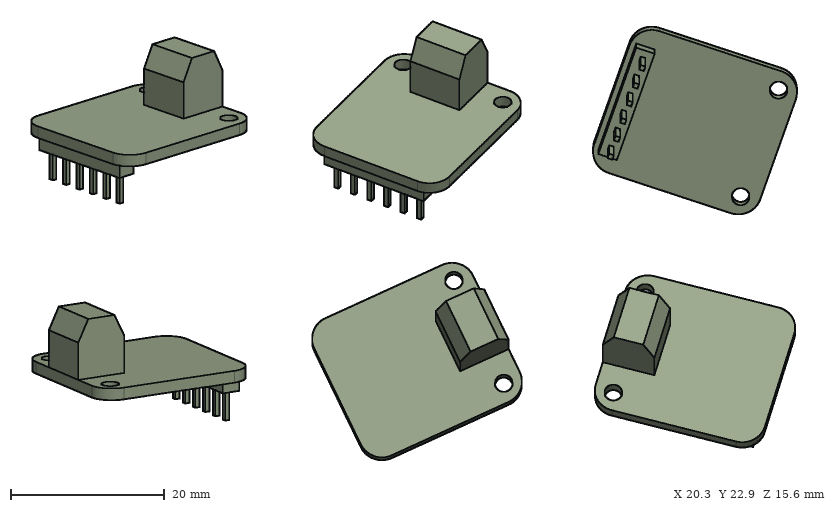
import cadquery as cq

board_width = 20.32
board_length = 22.85
board_thickness = 1.6
board_corner_radius = 3.05

pitch = 2.54
hole_diameter = 2.29

block_width = 7.5
block_depth = 7.0
block_height = 8.0
bevel_depth = 1.5
bevel_height = 3.0

pin_count = 6
header_length = pin_count * pitch
header_height = 2.0
header_edge_distance = 2.01
pin_size = 0.65
pin_length = 4.0

back_y = board_length / 2
pin_row_y = -board_length / 2 + header_edge_distance


def make_board():
    """Rounded plate with a mounting hole in each +Y corner."""
    hole_x = board_width / 2 - pitch
    hole_y = back_y - pitch
    plate = (
        cq.Workplane("XY")
        .rect(board_width, board_length)
        .extrude(board_thickness)
        .edges("|Z")
        .fillet(board_corner_radius)
    )
    holes = (
        cq.Workplane("XY")
        .pushPoints([(-hole_x, hole_y), (hole_x, hole_y)])
        .circle(hole_diameter / 2)
        .extrude(board_thickness)
    )
    return plate.cut(holes)


def make_sensor_block():
    """Bevelled profile in the YZ plane, extruded along X."""
    front_y = back_y - block_depth
    top_z = board_thickness + block_height
    shoulder_z = top_z - bevel_height
    profile = [
        (front_y, board_thickness),
        (back_y, board_thickness),
        (back_y, shoulder_z),
        (back_y - bevel_depth, top_z),
        (front_y + bevel_depth, top_z),
        (front_y, shoulder_z),
    ]
    return cq.Workplane("YZ").polyline(profile).close().extrude(block_width / 2, both=True)


def make_header():
    """Header strip hanging from the board underside."""
    return (
        cq.Workplane("XY")
        .center(0, pin_row_y)
        .rect(header_length, pitch)
        .extrude(-header_height)
    )


def make_pin(x):
    """Square pin hanging from the header underside."""
    return (
        cq.Workplane("XY", origin=(x, pin_row_y, -header_height))
        .rect(pin_size, pin_size)
        .extrude(-pin_length)
    )


board = make_board()
sensor_block = make_sensor_block()
header = make_header()
pins = [make_pin((i - (pin_count - 1) / 2) * pitch) for i in range(pin_count)]

result = cq.Compound.makeCompound(
    [board.val(), sensor_block.val(), header.val(), *[pin.val() for pin in pins]]
)